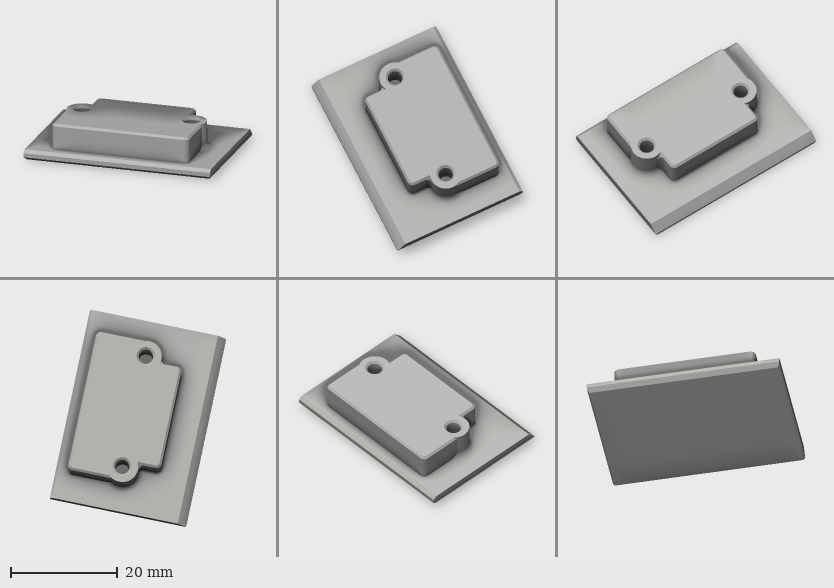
import cadquery as cq
import math

PLATE_LENGTH = 36.7
PLATE_WIDTH = 26.1
PLATE_THICKNESS = 2.02
BACK_BEVEL = 1.58
FRONT_TOP_BEVEL_DEPTH = 0.7
FRONT_TOP_BEVEL_HEIGHT = 0.55
FRONT_BOTTOM_BEVEL_DEPTH = 0.9
INLAY_THICKNESS = 0.65
END_BEVEL = 0.4

TOTAL_HEIGHT = 7.0
BLOCK_CENTER_X = -0.2
WIDE_LENGTH = 26.97
WIDE_FRONT_Y = -10.7
NARROW_LENGTH = 19.75
NARROW_BACK_Y = 6.35
CORNER_RADIUS = 1.0
TOP_CHAMFER = 0.4
NARROW_BASE_FILLET = 0.45

BOSS_SPACING = 21.5
BOSS_Y = -0.75
BOSS_RADIUS = 2.97
BOSS_BASE_FILLET = 1.03
HOLE_DIAMETER = 2.7
HOLE_CHAMFER = 0.4

EDGE_SLOPE = math.tan(math.radians(60))
FIN_LOW_Y = 3.35
FIN_HIGH_Y = 9.35
FIN_TIP_SLOPE = 0.5
CORNER_INLAY_Y = -5.32
CORNER_INLAY_X = -6.2
CORNER_EDGE_RUN = 1.1
ARCH_OUTER_X = -5.0
ARCH_INNER_X = -3.8
ARCH_DEPTH = 4.4

HALF_LENGTH = PLATE_LENGTH / 2
BACK_Y = PLATE_WIDTH / 2
FRONT_Y = -BACK_Y
BLOCK_HEIGHT = TOTAL_HEIGHT - PLATE_THICKNESS
SIDES = (-1, 1)


def make_plate():
    """Plate with bevelled front and back edges and bevelled lower ends."""
    side_profile = [
        (FRONT_Y + FRONT_BOTTOM_BEVEL_DEPTH, 0),
        (BACK_Y, 0),
        (BACK_Y, PLATE_THICKNESS - BACK_BEVEL),
        (BACK_Y - BACK_BEVEL, PLATE_THICKNESS),
        (FRONT_Y + FRONT_TOP_BEVEL_DEPTH, PLATE_THICKNESS),
        (FRONT_Y, PLATE_THICKNESS - FRONT_TOP_BEVEL_HEIGHT),
        (FRONT_Y, INLAY_THICKNESS),
    ]
    front_profile = [
        (-HALF_LENGTH + END_BEVEL, 0),
        (HALF_LENGTH - END_BEVEL, 0),
        (HALF_LENGTH, END_BEVEL),
        (HALF_LENGTH, PLATE_THICKNESS),
        (-HALF_LENGTH, PLATE_THICKNESS),
        (-HALF_LENGTH, END_BEVEL),
    ]
    long_bar = cq.Workplane("YZ").polyline(side_profile).close().extrude(HALF_LENGTH, both=True)
    end_shape = cq.Workplane("XZ").polyline(front_profile).close().extrude(BACK_Y, both=True)
    return long_bar.intersect(end_shape)


def block_part(length, start_y, end_y, outer_side, joined_side):
    """Rectangular part of the block, rounded and chamfered away from the boss line."""
    return (
        cq.Workplane("XY", origin=(BLOCK_CENTER_X, (start_y + end_y) / 2, PLATE_THICKNESS))
        .box(length, end_y - start_y, BLOCK_HEIGHT, centered=(True, True, False))
        .edges(f"|Z and {outer_side}Y")
        .fillet(CORNER_RADIUS)
        .faces(">Z")
        .edges(f"not({joined_side}Y)")
        .chamfer(TOP_CHAMFER)
    )


def make_boss_foot(x):
    """Ring with a concave profile that blends a boss into the plate."""
    outer_radius = BOSS_RADIUS + BOSS_BASE_FILLET
    arc_offset = BOSS_BASE_FILLET * (1 - math.sqrt(0.5))
    return (
        cq.Workplane("XZ", origin=(x, BOSS_Y, PLATE_THICKNESS))
        .lineTo(outer_radius, 0)
        .threePointArc((BOSS_RADIUS + arc_offset, arc_offset), (BOSS_RADIUS, BOSS_BASE_FILLET))
        .lineTo(0, BOSS_BASE_FILLET)
        .close()
        .revolve(360, (0, 0, 0), (0, 1, 0))
    )


def make_hole(x):
    """Blind hole down to the plate, with a chamfered mouth."""
    radius = HOLE_DIAMETER / 2
    return (
        cq.Workplane("XZ", origin=(x, BOSS_Y, PLATE_THICKNESS))
        .polyline([
            (0, 0),
            (radius, 0),
            (radius, BLOCK_HEIGHT - HOLE_CHAMFER),
            (radius + HOLE_CHAMFER, BLOCK_HEIGHT),
            (0, BLOCK_HEIGHT),
        ])
        .close()
        .revolve(360, (0, 0, 0), (0, 1, 0))
    )


def nearest_edge(x, y, z):
    """Selector for the edge whose middle is closest to a point."""
    return cq.selectors.NearestToPointSelector((x, y, z))


def add_block(plate):
    """Plate with the chamfered block, its bosses, rounded inner corners, base fillets and holes."""
    boss_centers = [(side * BOSS_SPACING / 2, BOSS_Y) for side in SIDES]
    bosses = (
        cq.Workplane("XY", origin=(0, 0, PLATE_THICKNESS))
        .pushPoints(boss_centers)
        .circle(BOSS_RADIUS)
        .extrude(BLOCK_HEIGHT)
    )
    block = (
        block_part(WIDE_LENGTH, WIDE_FRONT_Y, BOSS_Y, "<", ">")
        .union(block_part(NARROW_LENGTH, BOSS_Y, NARROW_BACK_Y, ">", "<"))
        .union(bosses)
    )
    for side in SIDES:
        corner_x = BLOCK_CENTER_X + side * NARROW_LENGTH / 2
        corner_y = BOSS_Y + math.sqrt(BOSS_RADIUS**2 - (corner_x - side * BOSS_SPACING / 2) ** 2)
        inner_corner = nearest_edge(corner_x, corner_y, PLATE_THICKNESS + BLOCK_HEIGHT / 2)
        block = block.edges(inner_corner).fillet(CORNER_RADIUS)

    back_base_edge = nearest_edge(BLOCK_CENTER_X, NARROW_BACK_Y, PLATE_THICKNESS)
    housing = plate.union(block).edges(back_base_edge).fillet(NARROW_BASE_FILLET)
    for x, _ in boss_centers:
        housing = housing.union(make_boss_foot(x))
    for x, _ in boss_centers:
        housing = housing.cut(make_hole(x))
    return housing


def inlay_prism(outline):
    """Straight prism that rises from the underside to the full inlay thickness."""
    return cq.Workplane("XY").polyline(outline).close().extrude(INLAY_THICKNESS)


def fin_outline(side):
    """Triangle that starts at the end face and points inward and back."""
    run = (FIN_HIGH_Y - FIN_LOW_Y) / (EDGE_SLOPE - FIN_TIP_SLOPE)
    return [
        (side * HALF_LENGTH, FIN_LOW_Y),
        (side * (HALF_LENGTH - run), FIN_LOW_Y + run * EDGE_SLOPE),
        (side * HALF_LENGTH, FIN_HIGH_Y),
    ]


def corner_outline(side):
    """Front corner patch with steep edges where it meets the plate's sides."""
    rise = CORNER_EDGE_RUN * EDGE_SLOPE
    return [
        (side * HALF_LENGTH, FRONT_Y),
        (side * HALF_LENGTH, CORNER_INLAY_Y),
        (side * (HALF_LENGTH - CORNER_EDGE_RUN), CORNER_INLAY_Y - rise),
        (side * (CORNER_EDGE_RUN - CORNER_INLAY_X), FRONT_Y + rise),
        (-side * CORNER_INLAY_X, FRONT_Y),
    ]


def arch_outline():
    """Band with two arms that spread from the front edge to a crossbar."""
    bar_width = (ARCH_INNER_X - ARCH_OUTER_X) * EDGE_SLOPE / 2
    inner_depth = ARCH_DEPTH - bar_width
    left_half = [
        (ARCH_INNER_X - inner_depth / EDGE_SLOPE, FRONT_Y + inner_depth),
        (ARCH_INNER_X, FRONT_Y),
        (ARCH_OUTER_X, FRONT_Y),
        (ARCH_OUTER_X - ARCH_DEPTH / EDGE_SLOPE, FRONT_Y + ARCH_DEPTH),
    ]
    return left_half + [(-x, y) for x, y in reversed(left_half)]


plate = make_plate()
fin_inlays = [plate.intersect(inlay_prism(fin_outline(side))) for side in SIDES]
corner_inlays = [plate.intersect(inlay_prism(corner_outline(side))) for side in SIDES]
arch_inlay = plate.intersect(inlay_prism(arch_outline()))
inlays = [*fin_inlays, *corner_inlays, arch_inlay]

housing = add_block(plate)
for inlay in inlays:
    housing = housing.cut(inlay)

result = cq.Compound.makeCompound([
    housing.val(),
    *[inlay.val() for inlay in inlays],
])